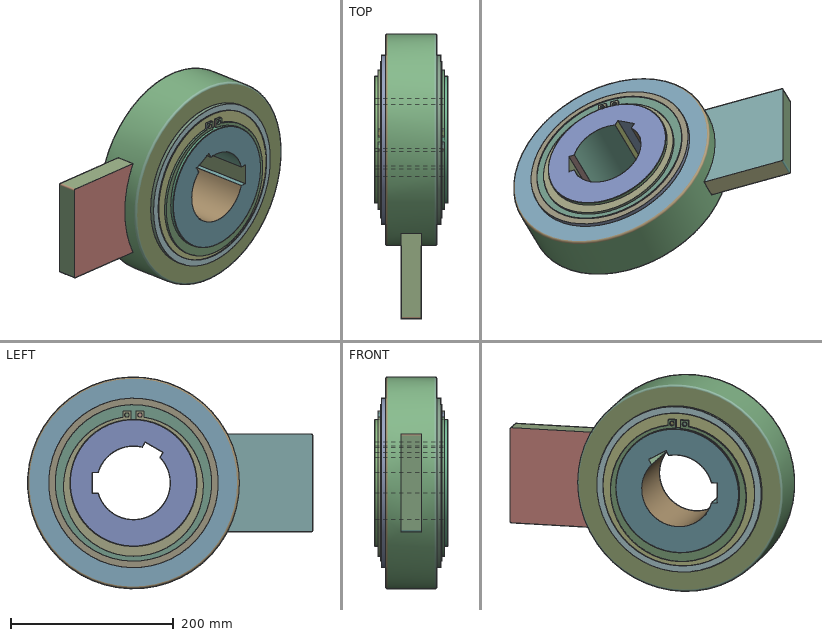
import cadquery as cq

housing_width = 63.0
housing_radius = 130.0
housing_edge_round = 2.5

cover_width = 73.0
cover_radius = 104.0
seal_width = 75.6
seal_radius = 96.0
hub_width = 90.0
hub_radius = 78.0
hub_edge_chamfer = 0.5

bore_radius = 45.0
keyway_width = 25.0
keyway_reach = 50.4
keyway_angles = (0.0, 120.0)

ring_thickness = 3.0
ring_radius = 85.8
ring_drop = 4.2
ring_gap = 6.0
lug_width = 10.0
lug_top = 88.3
lug_corner_round = 1.5
lug_hole_diameter = 5.5
lug_hole_height = 83.3
lug_hole_spacing = ring_gap + lug_width

arm_thickness = 25.0
arm_height = 120.0
arm_reach = 220.0
arm_end_round = 2.0


def disc(radius, width):
    """Disc on the X axis, centred on the YZ plane."""
    seam_to_arm = cq.Plane(origin=(-width / 2, 0, 0), xDir=(0, -1, 0), normal=(1, 0, 0))
    return cq.Workplane(seam_to_arm).circle(radius).extrude(width)


def make_body():
    housing = disc(housing_radius, housing_width).edges().fillet(housing_edge_round)
    hub = disc(hub_radius, hub_width).edges().chamfer(hub_edge_chamfer)
    return housing.union(disc(cover_radius, cover_width)).union(disc(seal_radius, seal_width)).union(hub)


def make_arm():
    """Plate starting inside the housing, its free end rounded above and below."""
    root = (bore_radius + housing_radius) / 2
    plate = cq.Workplane("XY").box(arm_thickness, arm_reach - root, arm_height)
    plate = plate.faces("<Y").edges("|X").fillet(arm_end_round)
    return plate.translate((0, -(arm_reach + root) / 2, 0))


def make_ring():
    """Retaining ring on the +X seal face, with a gap between two pierced lugs."""
    face = cq.Workplane("YZ", origin=(seal_width / 2, 0, 0))
    lug_span = ring_gap + 2 * lug_width
    band = face.center(0, -ring_drop).circle(ring_radius).extrude(ring_thickness)
    lugs = face.center(0, lug_top / 2).rect(lug_span, lug_top).extrude(ring_thickness)
    lugs = lugs.faces(">Z").edges("|X").fillet(lug_corner_round)
    gap = face.center(0, lug_top / 2).rect(ring_gap, lug_top).extrude(ring_thickness)
    holes = (
        face.pushPoints([(side * lug_hole_spacing / 2, lug_hole_height) for side in (-1, 1)])
        .circle(lug_hole_diameter / 2)
        .extrude(ring_thickness)
    )
    return band.union(lugs).cut(gap).cut(holes)


def make_bore():
    bore = disc(bore_radius, hub_width)
    for angle in keyway_angles:
        keyway = cq.Workplane("XY").box(hub_width, keyway_reach, keyway_width, centered=(True, False, True))
        bore = bore.union(keyway.rotate((0, 0, 0), (1, 0, 0), angle))
    return bore


ring = make_ring()
result = make_body().union(make_arm()).union(ring).union(ring.mirror("YZ")).cut(make_bore())